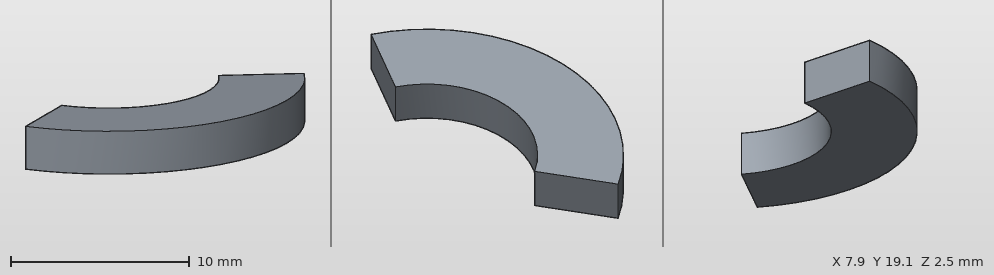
import cadquery as cq
import math

length = 19.05
sweep_angle = 120.0
inner_radius = 6.2
thickness = 2.5

half_angle = math.radians(sweep_angle / 2)
outer_radius = length / 2 / math.sin(half_angle)


def point_on_ring(radius, angle):
    """Point at the given radius and angle from the +X axis."""
    return (radius * math.cos(angle), radius * math.sin(angle))


result = (
    cq.Workplane("XY")
    .moveTo(*point_on_ring(inner_radius, -half_angle))
    .lineTo(*point_on_ring(outer_radius, -half_angle))
    .threePointArc(point_on_ring(outer_radius, 0), point_on_ring(outer_radius, half_angle))
    .lineTo(*point_on_ring(inner_radius, half_angle))
    .threePointArc(point_on_ring(inner_radius, 0), point_on_ring(inner_radius, -half_angle))
    .close()
    .extrude(thickness)
)